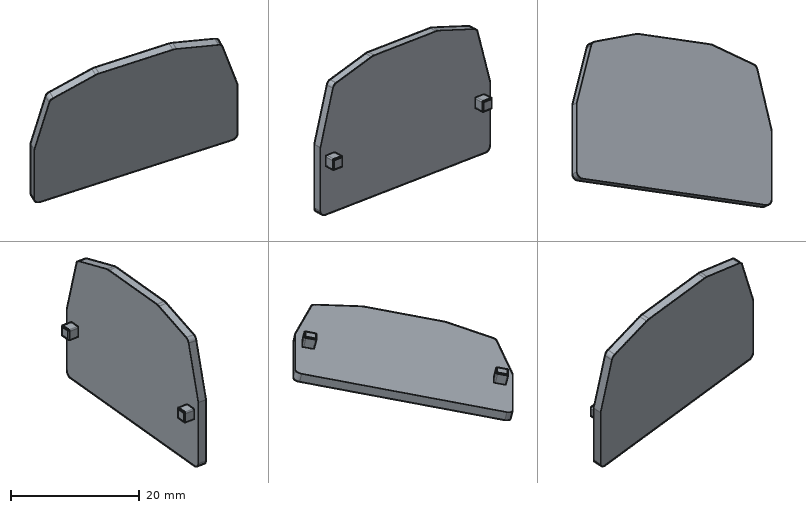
import cadquery as cq

plate_thickness = 1.5
plate_width = 34.7
plate_height = 24.65
side_height = 12.15
shoulder_half_width = 14.65
shoulder_height = 22.25
top_half_width = 6.6
bottom_radius = 1.0
shoulder_radius = 1.0
top_radius = 2.0

overall_depth = 3.35
peg_length = overall_depth - plate_thickness
peg_size = 1.95
peg_edge_radius = 0.2
peg_tip_chamfer = 0.175
peg_spacing = 30.55
peg_height = 9.4

half_width = plate_width / 2


def round_corners(plate, half_spacing, height, radius):
    """Round the mirrored pair of plate corners at Y = +/-half_spacing and the given height."""
    for side in (-1, 1):
        corner = cq.NearestToPointSelector((plate_thickness / 2, side * half_spacing, height))
        plate = plate.edges("|X").edges(corner).fillet(radius)
    return plate


def make_plate():
    """Extrude the gabled outline from X = 0 towards +X and round its corners."""
    right_side = [
        (half_width, 0),
        (half_width, side_height),
        (shoulder_half_width, shoulder_height),
        (top_half_width, plate_height),
    ]
    left_side = [(-y, z) for y, z in reversed(right_side)]
    plate = cq.Workplane("YZ").polyline(right_side + left_side).close().extrude(plate_thickness)
    plate = round_corners(plate, half_width, 0, bottom_radius)
    plate = round_corners(plate, shoulder_half_width, shoulder_height, shoulder_radius)
    return round_corners(plate, top_half_width, plate_height, top_radius)


def make_peg(y):
    """Square peg pointing to -X, rounded along its length and chamfered around its free end."""
    peg = (
        cq.Workplane("YZ")
        .center(y, peg_height)
        .rect(peg_size, peg_size)
        .extrude(-peg_length)
    )
    peg = peg.edges("|X").fillet(peg_edge_radius)
    return peg.faces("<X").chamfer(peg_tip_chamfer)


result = make_plate()
for side in (-1, 1):
    result = result.union(make_peg(side * peg_spacing / 2))